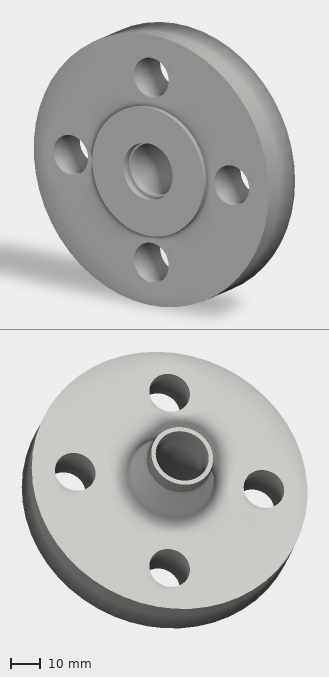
import cadquery as cq

flange_diameter = 95.0
total_length = 38.0

flange_thickness = 16.0
face_diameter = 45.0
face_height = 2.0

weld_end_diameter = 21.3
weld_end_length = 6.0
hub_diameter = 32.0
hub_fillet = 4.0

bore_diameter = 18.2
recess_diameter = 19.95
recess_depth = 3.0

bolt_count = 4
bolt_hole_diameter = 14.0
bolt_circle_diameter = 65.0

flange_back = face_height + flange_thickness
edge_tolerance = 0.1
taper_end = total_length - weld_end_length


def cylinder(diameter, start, length):
    """Cylinder on the Y axis, from Y = start towards +Y."""
    return cq.Workplane("XZ", origin=(0, start, 0)).circle(diameter / 2).extrude(-length)


def make_body():
    """Revolve the outer profile and round the foot of the neck."""
    body = (
        cq.Workplane("XY")
        .moveTo(0, 0)
        .lineTo(face_diameter / 2, 0)
        .lineTo(face_diameter / 2, face_height)
        .lineTo(flange_diameter / 2, face_height)
        .lineTo(flange_diameter / 2, flange_back)
        .lineTo(hub_diameter / 2, flange_back)
        .lineTo(weld_end_diameter / 2, taper_end)
        .lineTo(weld_end_diameter / 2, total_length)
        .lineTo(0, total_length)
        .close()
        .revolve(360, (0, 0, 0), (0, 1, 0))
    )
    box_half = hub_diameter / 2 + hub_fillet
    foot_edges = cq.selectors.BoxSelector(
        (-box_half, flange_back - edge_tolerance, -box_half),
        (box_half, flange_back + edge_tolerance, box_half),
        boundingbox=True,
    )
    return body.edges(foot_edges).fillet(hub_fillet)


def make_bolt_holes():
    """Cutters for the bolt holes, the first one on the X axis."""
    return (
        cq.Workplane("XZ")
        .polarArray(bolt_circle_diameter / 2, 0, 360, bolt_count)
        .circle(bolt_hole_diameter / 2)
        .extrude(-flange_back)
    )


bore = cylinder(bore_diameter, 0, total_length)
recess = cylinder(recess_diameter, 0, recess_depth)
result = make_body().cut(bore).cut(recess).cut(make_bolt_holes())